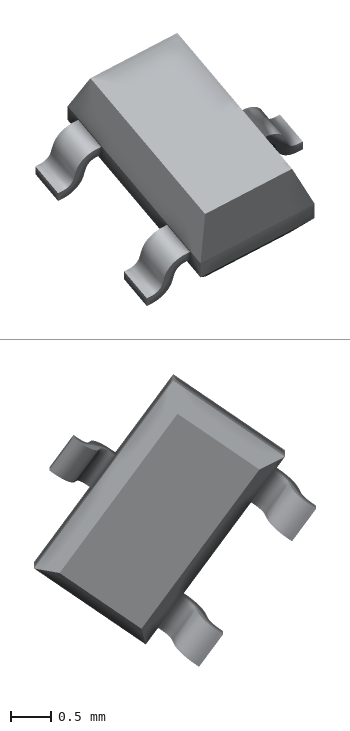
import cadquery as cq
import math

body_length = 3.0
body_width = 1.71
body_height = 1.3
belt_bottom = 0.38
belt_top = 0.663
top_inset = 0.205
bottom_inset = 0.228

lead_span = 3.0
lead_width = 0.515
lead_thickness = 0.155
lead_top = 0.642
lead_offset_x = 1.002
bend_radius = 0.24
bend_angle = math.radians(75)

marker_diameter = 0.15
marker_depth = 0.03
marker_x = -lead_offset_x
marker_y = -0.462


def make_frustum(base_z, end_z, inset):
    """Taper from the full belt outline at base_z to an inset rectangle at end_z."""
    return (
        cq.Workplane("XY", origin=(0, 0, base_z))
        .rect(body_length, body_width)
        .workplane(offset=end_z - base_z)
        .rect(body_length - 2 * inset, body_width - 2 * inset)
        .loft(ruled=True)
    )


def make_marker():
    return (
        cq.Workplane("XY", origin=(marker_x, marker_y, body_height - marker_depth))
        .circle(marker_diameter / 2)
        .extrude(marker_depth)
    )


def make_housing():
    belt = (
        cq.Workplane("XY", origin=(0, 0, belt_bottom))
        .rect(body_length, body_width)
        .extrude(belt_top - belt_bottom)
    )
    upper = make_frustum(belt_top, body_height, top_inset)
    lower = make_frustum(belt_bottom, 0, bottom_inset)
    return belt.union(upper).union(lower).cut(make_marker())


def make_front_lead(center_x):
    """Sweep the lead section along an S-shaped path from the housing to the toe."""
    start_y = -body_width / 2
    toe_y = -lead_span / 2
    upper_z = lead_top - lead_thickness / 2
    foot_z = lead_thickness / 2

    bend_run = bend_radius * math.sin(bend_angle)
    bend_drop = bend_radius * (1 - math.cos(bend_angle))
    half_bend_run = bend_radius * math.sin(bend_angle / 2)
    half_bend_drop = bend_radius * (1 - math.cos(bend_angle / 2))

    web_drop = upper_z - foot_z - 2 * bend_drop
    web_run = web_drop / math.tan(bend_angle)
    flat = (start_y - toe_y - 2 * bend_run - web_run) / 2
    shoulder_y = start_y - flat
    heel_y = toe_y + flat

    path = (
        cq.Workplane("YZ", origin=(center_x, 0, 0))
        .moveTo(start_y, upper_z)
        .lineTo(shoulder_y, upper_z)
        .threePointArc(
            (shoulder_y - half_bend_run, upper_z - half_bend_drop),
            (shoulder_y - bend_run, upper_z - bend_drop),
        )
        .lineTo(heel_y + bend_run, foot_z + bend_drop)
        .threePointArc(
            (heel_y + half_bend_run, foot_z + half_bend_drop),
            (heel_y, foot_z),
        )
        .lineTo(toe_y, foot_z)
    )
    return (
        cq.Workplane("XZ", origin=(center_x, start_y, upper_z))
        .rect(lead_width, lead_thickness)
        .sweep(path)
    )


housing = make_housing()
marker = make_marker()
leads = [make_front_lead(x) for x in (-lead_offset_x, lead_offset_x)]
leads.append(make_front_lead(0).rotate((0, 0, 0), (0, 0, 1), 180))

result = cq.Compound.makeCompound([housing.val(), marker.val(), *[lead.val() for lead in leads]])